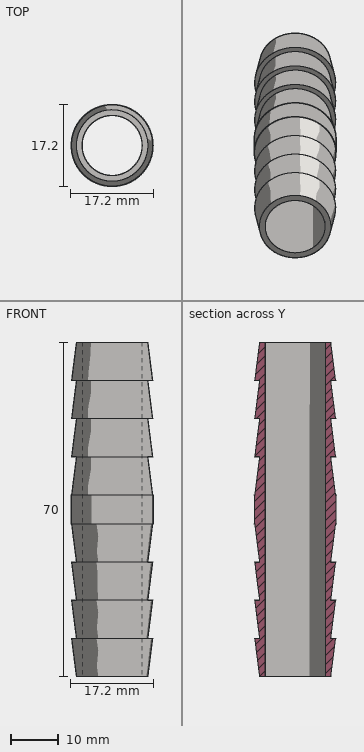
import cadquery as cq

total_length = 70.0
bore_diameter = 12.5

collar_length = 6.0
collar_diameter = 17.2

barbs_per_side = 4
barb_tip_diameter = 15.0
barb_root_diameter = 17.0
barb_length = (total_length - collar_length) / (2 * barbs_per_side)


def upper_barb_points():
    """Half-profile corners of the upper barbs, from the collar to the top end."""
    points = []
    for index in range(barbs_per_side):
        root_z = collar_length / 2 + index * barb_length
        points.append((barb_root_diameter / 2, root_z))
        points.append((barb_tip_diameter / 2, root_z + barb_length))
    return points


def tube_profile():
    """Closed half-section of the tube: radius along X, height along Z."""
    upper_barbs = upper_barb_points()
    lower_barbs = [(radius, -z) for radius, z in reversed(upper_barbs)]
    collar = [
        (collar_diameter / 2, -collar_length / 2),
        (collar_diameter / 2, collar_length / 2),
    ]
    bore = [
        (bore_diameter / 2, total_length / 2),
        (bore_diameter / 2, -total_length / 2),
    ]
    outline = lower_barbs + collar + upper_barbs + bore
    return cq.Workplane("XZ").polyline(outline).close()


result = tube_profile().revolve(360, (0, 0, 0), (0, 1, 0))